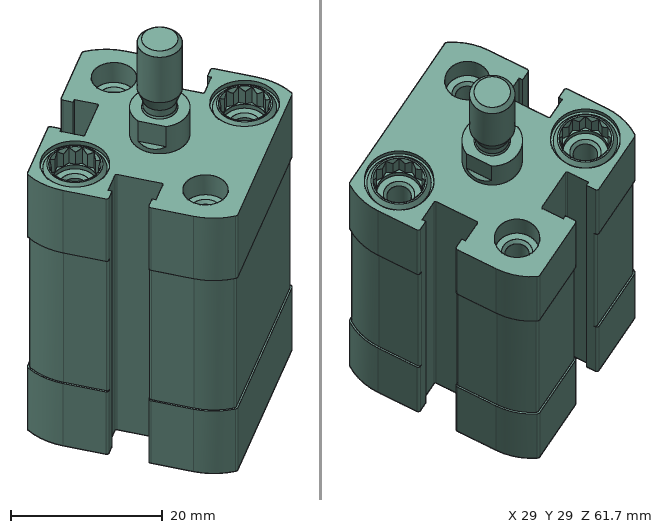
import cadquery as cq
import math


housing_width = 29.0
housing_height = 45.0
cap_height = 11.0
tube_inset = 0.25
tube_height = housing_height - 2 * cap_height

screw_offset = 9.0
corner_radius = 9.3
corner_edge_fillet = 0.5

slot_mouth_half = 2.75
slot_pocket_half = 3.3
slot_depth = 5.1
slot_lip_thickness = 1.75
slot_mouth_fillet = 0.35
slot_floor_fillet = 0.2
slot_floor_offset = housing_width / 2 - slot_depth
slot_angles = (0, -90, 180)

hole_diameter = 3.24
hole_countersink_diameter = 4.13
counterbore_diameter = 6.0
counterbore_depth = 3.5

socket_points = 12
socket_across_flats = 6.0
socket_depth = 2.8
socket_outer_radius = socket_across_flats / 2 / math.cos(math.radians(30))
socket_inner_radius = socket_across_flats / 2 / math.cos(math.radians(15))
socket_lead_depth = 0.65

ring_outer_diameter = 9.2
rim_base_diameter = 8.5
rim_top_diameter = 7.4
ring_depth = 0.7

rod_diameter = 8.0
thread_diameter = 6.0
neck_diameter = 4.5
collar_height = 4.7
neck_flare_height = 0.3
neck_flare_width = 0.15
neck_top = 6.1
thread_bottom = 8.1
rod_length = 16.7
tip_chamfer = 0.6
wrench_width = 7.0
wrench_flat_bottom = 1.15
wrench_runout_bottom = 0.7


def housing_section(bottom, height, inset):
    """One length of the housing outline, all faces set back by the inset."""
    half = housing_width / 2 - inset
    radius = corner_radius - inset
    centre_y = half - radius

    def on_arc(x):
        return x, centre_y + math.sqrt(radius**2 - (x - screw_offset) ** 2)

    corner_x, corner_y = on_arc(half)
    middle_x, middle_y = on_arc((half + screw_offset) / 2)
    outline = (
        cq.Workplane("XY", origin=(0, 0, bottom))
        .moveTo(-screw_offset, half)
        .lineTo(screw_offset, half)
        .threePointArc((middle_x, middle_y), (corner_x, corner_y))
        .lineTo(corner_x, -corner_y)
        .threePointArc((middle_x, -middle_y), (screw_offset, -half))
        .lineTo(-screw_offset, -half)
        .threePointArc((-middle_x, -middle_y), (-corner_x, -corner_y))
        .lineTo(-corner_x, corner_y)
        .threePointArc((-middle_x, middle_y), (-screw_offset, half))
        .close()
    )
    block = outline.extrude(height)
    block = block.edges("|Z").edges("<X or >X").fillet(corner_edge_fillet)
    for angle in slot_angles:
        block = block.cut(slot_cutter(bottom, height, half).rotate((0, 0, 0), (0, 0, 1), angle))
    return block


def slot_cutter(bottom, height, face_offset):
    """T-slot opening on the -Y face, with rounded mouth edges and floor corners."""
    lip_inner = housing_width / 2 - slot_lip_thickness
    return (
        cq.Workplane("XY", origin=(0, 0, bottom))
        .moveTo(0, -slot_floor_offset)
        .lineTo(slot_pocket_half - slot_floor_fillet, -slot_floor_offset)
        .tangentArcPoint((slot_floor_fillet, -slot_floor_fillet))
        .lineTo(slot_pocket_half, -lip_inner)
        .lineTo(slot_mouth_half, -lip_inner)
        .lineTo(slot_mouth_half, -face_offset + slot_mouth_fillet)
        .tangentArcPoint((slot_mouth_fillet, -slot_mouth_fillet))
        .lineTo(0, -face_offset)
        .mirrorY()
        .extrude(height)
    )


def cone(bottom_diameter, top_diameter, bottom, height):
    """Truncated cone on the Z axis."""
    return cq.Workplane(
        cq.Solid.makeCone(bottom_diameter / 2, top_diameter / 2, height, pnt=cq.Vector(0, 0, bottom))
    )


def cylinder(diameter, bottom, height):
    """Cylinder on the Z axis."""
    return cq.Workplane("XY", origin=(0, 0, bottom)).circle(diameter / 2).extrude(height)


def screw_hole_cutter():
    """Through hole with a countersink in the floor of its counterbore."""
    floor = housing_height - counterbore_depth
    countersink_depth = (hole_countersink_diameter - hole_diameter) / 2
    countersink = cone(hole_diameter, hole_countersink_diameter, floor - countersink_depth, countersink_depth)
    return (
        cylinder(hole_diameter, 0, housing_height)
        .union(countersink)
        .union(cylinder(counterbore_diameter, floor, counterbore_depth))
    )


def socket_cutter():
    """Twelve-point socket with a conical lead-in, and the ring recess around its rim."""
    points = []
    for index in range(2 * socket_points):
        radius = socket_inner_radius if index % 2 else socket_outer_radius
        angle = math.pi * index / socket_points
        points.append((radius * math.cos(angle), radius * math.sin(angle)))
    socket_floor = housing_height - socket_depth
    star = cq.Workplane("XY", origin=(0, 0, socket_floor)).polyline(points).close().extrude(socket_depth)

    lead_in = cone(
        2 * socket_inner_radius, 2 * socket_outer_radius, housing_height - socket_lead_depth, socket_lead_depth
    )
    ring_floor = housing_height - ring_depth
    rim = cone(rim_base_diameter, rim_top_diameter, ring_floor, ring_depth)
    ring = cylinder(ring_outer_diameter, ring_floor, ring_depth).cut(rim)
    return star.union(lead_in), ring


def build_housing():
    """End caps and tube in one solid, with four screw holes and two sockets."""
    body = housing_section(0, cap_height, 0)
    body = body.union(housing_section(cap_height, tube_height, tube_inset))
    body = body.union(housing_section(cap_height + tube_height, cap_height, 0))

    hole = screw_hole_cutter()
    socket, ring = socket_cutter()
    for side_x in (-1, 1):
        for side_y in (-1, 1):
            place = (side_x * screw_offset, side_y * screw_offset, 0)
            body = body.cut(hole.translate(place))
            if side_x == side_y:
                body = body.cut(socket.translate(place))
                body = body.cut(ring.translate(place))
    return body


def wrench_flat_cutter():
    """Material removed for the flat on the +Y side, with a sloped run-out at its foot."""
    flat = wrench_width / 2
    surface = rod_diameter / 2
    slope = (wrench_flat_bottom - wrench_runout_bottom) / (surface - flat)
    outer = rod_diameter
    outline = [
        (flat, housing_height + collar_height),
        (flat, housing_height + wrench_flat_bottom),
        (outer, housing_height + wrench_flat_bottom - slope * (outer - flat)),
        (outer, housing_height + collar_height),
    ]
    return cq.Workplane("YZ").polyline(outline).close().extrude(rod_diameter / 2, both=True)


def build_rod():
    """Turned rod standing on the housing top: collar, necked relief and threaded end."""
    neck_radius = neck_diameter / 2
    thread_radius = thread_diameter / 2
    profile = [
        (0, 0),
        (rod_diameter / 2, 0),
        (rod_diameter / 2, collar_height),
        (neck_radius + neck_flare_width, collar_height),
        (neck_radius, collar_height + neck_flare_height),
        (neck_radius, neck_top),
        (thread_radius, thread_bottom),
        (thread_radius, rod_length - tip_chamfer),
        (thread_radius - tip_chamfer, rod_length),
        (0, rod_length),
    ]
    rod = cq.Workplane("XZ").polyline(profile).close().revolve(360, (0, 0), (0, 1))
    rod = rod.translate((0, 0, housing_height))
    flat = wrench_flat_cutter()
    return rod.cut(flat).cut(flat.mirror("XZ"))


housing = build_housing()
piston_rod = build_rod()

result = cq.Compound.makeCompound([housing.solids().val(), piston_rod.solids().val()])